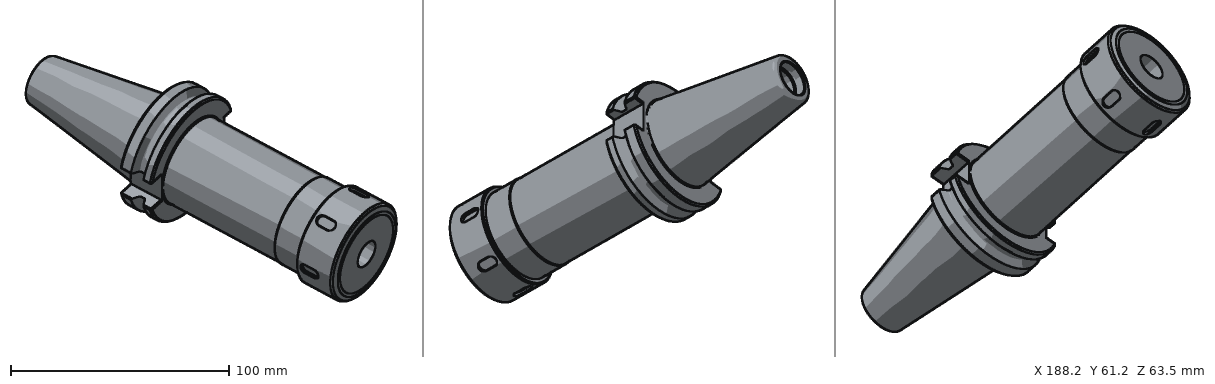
import cadquery as cq
import math


gauge_diameter = 44.45
taper_length = 68.25
taper_ratio = 7 / 24
taper_tip_diameter = gauge_diameter - taper_length * taper_ratio
tip_rounding = 2.0

flange_diameter = 63.5
flange_front = 1.0
flange_rear = 19.05
flange_chamfer = 0.85
flange_root_fillet = 0.5
groove_center = 10.95
groove_mouth_width = 7.3
groove_depth = 4.0
groove_corner_fillet = 0.6
groove_half_angle = 30
drive_slot_width = 16.1
drive_slot_chamfer = 0.5
drive_slot_floors = {-1: 22.6, 1: 24.6}

body_diameter = gauge_diameter
nut_seat_diameter = 45.0
nut_seat_start = 84.3
nut_seat_cone_length = 0.5
key_flat_width = 4.0

bore_diameter = 13.39
counterbore_rim_diameter = 17.6
counterbore_diameter = 16.78
counterbore_depth = 5.0
counterbore_floor_diameter = 16.28
counterbore_cone_length = 1.2

nut_diameter = 50.0
nut_start = 98.5
nut_end = 120.0
nut_rear_chamfer = 0.6
nut_rim_chamfer_start = 118.1
nut_rim_chamfer = 0.9
nut_face_diameter = 43.5
nut_bore_diameter = 40.0
nut_slot_count = 6
nut_slot_start = 101.0
nut_slot_length = 10.3
nut_slot_width = 5.2
nut_slot_depth = 1.5


def revolve_about_x(profile):
    """Turn a closed outline drawn as (x, radius) into a solid of revolution."""
    return profile.close().revolve(360, (0, 0, 0), (1, 0, 0))


def cylinder_along_x(diameter, start, end):
    return cq.Workplane("YZ", origin=(start, 0, 0)).circle(diameter / 2).extrude(end - start)


def make_shank():
    shank = revolve_about_x(
        cq.Workplane("XY")
        .moveTo(-taper_length, 0)
        .lineTo(-taper_length, taper_tip_diameter / 2)
        .lineTo(0, gauge_diameter / 2)
        .lineTo(0, 0)
    )
    return shank.faces("<X").edges().fillet(tip_rounding)


def make_flange_disc():
    """Disc with chamfered rims, joined by fillets to the neck in front and the body behind."""
    outer_radius = flange_diameter / 2
    root_radius = gauge_diameter / 2
    fillet = flange_root_fillet
    return revolve_about_x(
        cq.Workplane("XY")
        .moveTo(0, 0)
        .lineTo(0, root_radius)
        .lineTo(flange_front - fillet, root_radius)
        .radiusArc((flange_front, root_radius + fillet), -fillet)
        .lineTo(flange_front, outer_radius - flange_chamfer)
        .lineTo(flange_front + flange_chamfer, outer_radius)
        .lineTo(flange_rear - flange_chamfer, outer_radius)
        .lineTo(flange_rear, outer_radius - flange_chamfer)
        .lineTo(flange_rear, root_radius + fillet)
        .radiusArc((flange_rear + fillet, root_radius), -fillet)
        .lineTo(flange_rear + fillet, 0)
    )


def make_gripper_groove():
    """Ring with a V-shaped section, a flat floor and rounded floor corners."""
    outer_radius = flange_diameter / 2
    floor_radius = outer_radius - groove_depth
    half_mouth = groove_mouth_width / 2
    half_floor = half_mouth - groove_depth * math.tan(math.radians(groove_half_angle))
    groove = revolve_about_x(
        cq.Workplane("XY")
        .moveTo(groove_center - half_mouth, outer_radius)
        .lineTo(groove_center - half_floor, floor_radius)
        .lineTo(groove_center + half_floor, floor_radius)
        .lineTo(groove_center + half_mouth, outer_radius)
    )
    floor_edges = cq.selectors.RadiusNthSelector(0)
    return groove.edges(floor_edges).fillet(groove_corner_fillet)


def make_drive_slot(side, floor_distance):
    """Slot across the flange on one side in Y, chamfered along both flange faces and the rim."""
    radius = flange_diameter / 2
    half_width = drive_slot_width / 2
    flared_half_width = half_width + drive_slot_chamfer
    length = flange_rear - flange_front
    half_length = length / 2
    center_x = flange_front + half_length
    overrun = 2 * flange_root_fillet
    through = (
        cq.Workplane("XZ", origin=(center_x, floor_distance, 0))
        .rect(length + 2 * overrun, 2 * half_width)
        .extrude(-radius)
    )
    face_flares = (
        cq.Workplane("XZ", origin=(center_x, floor_distance, 0))
        .polyline([
            (half_length - drive_slot_chamfer, half_width),
            (half_length, flared_half_width),
            (half_length, -flared_half_width),
            (half_length - drive_slot_chamfer, -half_width),
            (drive_slot_chamfer - half_length, -half_width),
            (-half_length, -flared_half_width),
            (-half_length, flared_half_width),
            (drive_slot_chamfer - half_length, half_width),
        ])
        .close()
        .extrude(-radius)
    )
    rim_y = math.sqrt(radius**2 - flared_half_width**2)
    rim_flare = (
        cq.Workplane("YZ", origin=(flange_front, 0, 0))
        .polyline([
            (rim_y - drive_slot_chamfer, half_width),
            (rim_y, flared_half_width),
            (radius, flared_half_width),
            (radius, -flared_half_width),
            (rim_y, -flared_half_width),
            (rim_y - drive_slot_chamfer, -half_width),
        ])
        .close()
        .extrude(length)
    )
    slot = through.union(face_flares).union(rim_flare)
    return slot if side > 0 else slot.mirror("XZ")


def make_flange():
    flange = make_flange_disc().cut(make_gripper_groove())
    for side, floor_distance in drive_slot_floors.items():
        flange = flange.cut(make_drive_slot(side, floor_distance))
    return flange


def make_body():
    """Cylinder with a slightly larger nut seat that has a narrow flat on the -Y side."""
    seat_radius = nut_seat_diameter / 2
    body = revolve_about_x(
        cq.Workplane("XY")
        .moveTo(flange_rear, 0)
        .lineTo(flange_rear, body_diameter / 2)
        .lineTo(nut_seat_start - nut_seat_cone_length, body_diameter / 2)
        .lineTo(nut_seat_start, seat_radius)
        .lineTo(nut_start, seat_radius)
        .lineTo(nut_start, 0)
    )
    flat_distance = math.sqrt(seat_radius**2 - (key_flat_width / 2) ** 2)
    flat_length = nut_start - nut_seat_start
    flat = cq.Workplane("XY").box(flat_length, seat_radius, nut_seat_diameter, centered=(False, True, True))
    return body.cut(flat.translate((nut_seat_start, -flat_distance - seat_radius / 2, 0)))


def make_bore():
    """Through bore with a chamfered counterbore at the taper tip, narrowing to its floor."""
    rim_depth = (counterbore_rim_diameter - counterbore_diameter) / 2
    counterbore_floor = -taper_length + counterbore_depth
    return revolve_about_x(
        cq.Workplane("XY")
        .moveTo(-taper_length, 0)
        .lineTo(-taper_length, counterbore_rim_diameter / 2)
        .lineTo(-taper_length + rim_depth, counterbore_diameter / 2)
        .lineTo(counterbore_floor - counterbore_cone_length, counterbore_diameter / 2)
        .lineTo(counterbore_floor, counterbore_floor_diameter / 2)
        .lineTo(counterbore_floor, bore_diameter / 2)
        .lineTo(nut_end, bore_diameter / 2)
        .lineTo(nut_end, 0)
    )


def make_holder():
    nose = cylinder_along_x(nut_bore_diameter, nut_start, nut_end)
    holder = make_shank().union(make_flange()).union(make_body()).union(nose)
    return holder.cut(make_bore())


def make_nut():
    radius = nut_diameter / 2
    nut = revolve_about_x(
        cq.Workplane("XY")
        .moveTo(nut_start, nut_bore_diameter / 2)
        .lineTo(nut_start, radius - nut_rear_chamfer)
        .lineTo(nut_start + nut_rear_chamfer, radius)
        .lineTo(nut_rim_chamfer_start, radius)
        .lineTo(nut_rim_chamfer_start + nut_rim_chamfer, radius - nut_rim_chamfer)
        .lineTo(nut_end, nut_face_diameter / 2)
        .lineTo(nut_end, nut_bore_diameter / 2)
    )
    slot = (
        cq.Workplane("XZ", origin=(nut_slot_start + nut_slot_length / 2, nut_slot_depth - radius, 0))
        .slot2D(nut_slot_length, nut_slot_width)
        .extrude(radius)
    )
    for index in range(nut_slot_count):
        nut = nut.cut(slot.rotate((0, 0, 0), (1, 0, 0), index * 360 / nut_slot_count))
    return nut


holder = make_holder()
nut = make_nut()
result = cq.Compound.makeCompound([holder.val(), nut.val()])